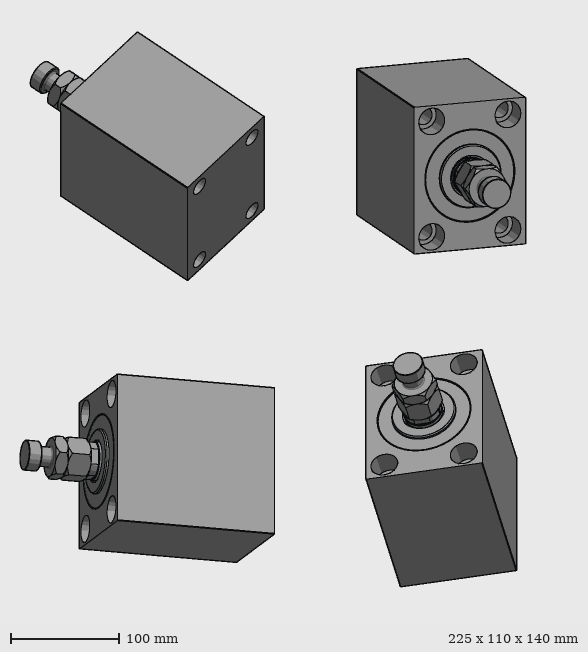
import cadquery as cq
import math


head_end = 12.5
pin_hex_start = 24.8
hex_joint = 37.0
rod_start = 59.2
rod_shoulder = 66.5
gland_front = 68.8
housing_front = 72.0
total_length = 225.0

housing_width = 110.0
housing_height = 140.0
housing_length = total_length - housing_front
edge_chamfer = 0.7
bolt_spacing_y = 75.0
bolt_spacing_z = 110.0
bolt_hole_diameter = 17.0
counterbore_diameter = 25.2
counterbore_depth = 22.5

gland_diameter = 86.8
gland_depth = 22.5
gland_seat_chamfer = 1.0
ring_diameter = 60.3
ring_chamfer_length = 1.4
ring_chamfer_radial = 1.1
rod_clearance_diameter = 39.5
rod_clearance_depth = 1.8

rod_diameter = 36.0
rod_shoulder_chamfer = 0.7
rod_neck_diameter = 35.0
rod_across_flats = 32.0

hex_across_flats = 36.0
head_diameter = 28.0
head_front_chamfer = 0.5
head_rear_chamfer = 1.0
pin_neck_diameter = 18.5
pin_neck_fillet = 1.1

gland_end = housing_front + gland_depth


def cylinder(diameter, start, end):
    """Solid cylinder on the X axis between two stations."""
    return cq.Workplane("YZ", origin=(start, 0, 0)).circle(diameter / 2).extrude(end - start)


def make_housing():
    """Rectangular block with counterbored corner holes and a chamfered gland seat."""
    block = (
        cq.Workplane("YZ", origin=(housing_front, 0, 0))
        .rect(housing_width, housing_height)
        .extrude(housing_length)
        .edges("|X")
        .chamfer(edge_chamfer)
    )
    seat = cylinder(gland_diameter, housing_front, gland_end)
    seat_mouth = cq.Workplane(
        cq.Solid.makeCone(
            gland_diameter / 2 + gland_seat_chamfer,
            gland_diameter / 2,
            gland_seat_chamfer,
            cq.Vector(housing_front, 0, 0),
            cq.Vector(1, 0, 0),
        )
    )
    bolt_centres = cq.Workplane("YZ", origin=(housing_front, 0, 0)).rect(
        bolt_spacing_y, bolt_spacing_z, forConstruction=True
    ).vertices()
    bolt_holes = bolt_centres.circle(bolt_hole_diameter / 2).extrude(housing_length)
    counterbores = bolt_centres.circle(counterbore_diameter / 2).extrude(counterbore_depth)
    return block.cut(seat).cut(seat_mouth).cut(bolt_holes).cut(counterbores)


def make_gland():
    """Turned gland with a chamfered front ring, bored for the rod."""
    ring_radius = ring_diameter / 2
    profile = [
        (gland_front, rod_clearance_diameter / 2),
        (gland_front, ring_radius - ring_chamfer_radial),
        (gland_front + ring_chamfer_length, ring_radius),
        (housing_front, ring_radius),
        (housing_front, gland_diameter / 2),
        (gland_end, gland_diameter / 2),
        (gland_end, rod_diameter / 2),
        (gland_front + rod_clearance_depth, rod_diameter / 2),
        (gland_front + rod_clearance_depth, rod_clearance_diameter / 2),
    ]
    return cq.Workplane("XY").polyline(profile).close().revolve(360, (0, 0, 0), (1, 0, 0))


def make_rod():
    """Piston rod with a chamfered shoulder and a neck milled with four wrench flats."""
    shank = cylinder(rod_diameter, rod_shoulder, gland_end).faces("<X").chamfer(rod_shoulder_chamfer)
    flats = (
        cq.Workplane("YZ", origin=(rod_start, 0, 0))
        .rect(rod_across_flats, rod_across_flats)
        .extrude(rod_shoulder - rod_start)
    )
    neck = cylinder(rod_neck_diameter, rod_start, rod_shoulder).intersect(flats)
    return shank.union(neck)


def make_hexagon(start, end):
    """Hexagon with flats facing +Z and -Z, its corners chamfered at 45 degrees at both ends."""
    across_corners = hex_across_flats / math.cos(math.pi / 6)
    corner_chamfer = (across_corners - hex_across_flats) / 2
    prism = (
        cq.Workplane("YZ", origin=(start, 0, 0))
        .polygon(6, across_corners)
        .extrude(end - start)
    )
    envelope = cylinder(across_corners, start, end).faces("<X or >X").chamfer(corner_chamfer)
    return prism.intersect(envelope)


def make_coupling_pin():
    """Pin with a round head, a filleted neck and two adjoining hexagons."""
    head = cylinder(head_diameter, 0, head_end)
    head = head.faces("<X").chamfer(head_front_chamfer)
    head = head.faces(">X").chamfer(head_rear_chamfer)
    neck_radius = pin_neck_diameter / 2
    flare_radius = neck_radius + pin_neck_fillet
    arc_offset = pin_neck_fillet * (1 - math.sqrt(0.5))
    neck = (
        cq.Workplane("XY")
        .moveTo(head_end, 0)
        .lineTo(head_end, flare_radius)
        .threePointArc(
            (head_end + arc_offset, neck_radius + arc_offset),
            (head_end + pin_neck_fillet, neck_radius),
        )
        .lineTo(pin_hex_start - pin_neck_fillet, neck_radius)
        .threePointArc(
            (pin_hex_start - arc_offset, neck_radius + arc_offset),
            (pin_hex_start, flare_radius),
        )
        .lineTo(pin_hex_start, 0)
        .close()
        .revolve(360, (0, 0, 0), (1, 0, 0))
    )
    front_hexagon = make_hexagon(pin_hex_start, hex_joint)
    rear_hexagon = make_hexagon(hex_joint, rod_start)
    return head.union(neck).union(front_hexagon).union(rear_hexagon)


housing = make_housing()
gland = make_gland()
rod = make_rod()
coupling_pin = make_coupling_pin()

result = cq.Compound.makeCompound([housing.val(), gland.val(), rod.val(), coupling_pin.val()])